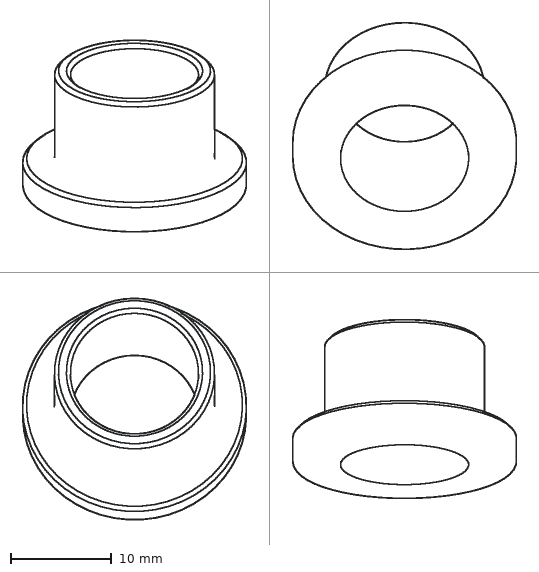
import cadquery as cq

flange_diameter = 22.23
sleeve_diameter = 15.9
bore_diameter = 12.72
total_height = 12.7
flange_height = 3.18
edge_break = 0.4
root_fillet = 0.18

flange_radius = flange_diameter / 2
sleeve_radius = sleeve_diameter / 2
bore_radius = bore_diameter / 2

section = (
    cq.Workplane("XZ")
    .moveTo(bore_radius, 0)
    .lineTo(flange_radius, 0)
    .lineTo(flange_radius, flange_height)
    .lineTo(sleeve_radius, flange_height)
    .lineTo(sleeve_radius, total_height)
    .lineTo(bore_radius, total_height)
    .close()
)
body = section.revolve(360, (0, 0, 0), (0, 1, 0))

body = body.faces(">Z").edges().chamfer(edge_break)

flange_top = body.faces("|Z").faces(">Z[1]")
body = flange_top.edges(cq.selectors.RadiusNthSelector(-1)).chamfer(edge_break)

flange_top = body.faces("|Z").faces(">Z[1]")
body = flange_top.edges(cq.selectors.RadiusNthSelector(0)).fillet(root_fillet)

result = body.faces("<Z").edges(cq.selectors.RadiusNthSelector(-1)).fillet(edge_break)